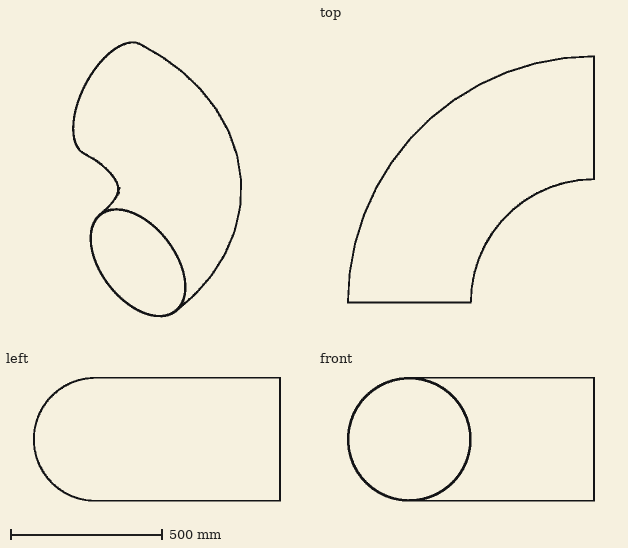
import cadquery as cq

outer_diameter = 407.0
wall_thickness = 3.0
bend_radius = 1.5 * outer_diameter
bend_angle = 90.0

outer_radius = outer_diameter / 2
inner_radius = outer_radius - wall_thickness


def pipe_bend():
    """Sweep the pipe ring about a vertical axis through the origin.

    One open end faces -Y, the other faces +X.
    """
    ring = (
        cq.Workplane("XZ")
        .center(-bend_radius, 0)
        .circle(outer_radius)
        .circle(inner_radius)
    )
    axis_start = (bend_radius, 0)
    axis_end = (bend_radius, -1)
    return ring.revolve(bend_angle, axis_start, axis_end)


result = pipe_bend()